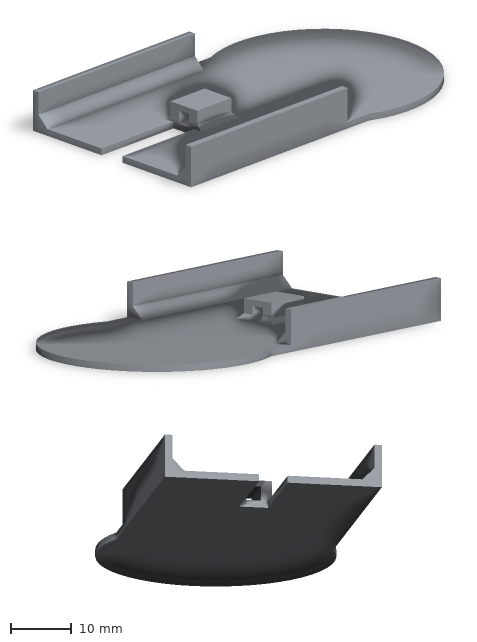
import cadquery as cq

total_length = 69.9
disc_diameter = 39.85
body_width = 36.5
plate_thickness = 1.2
front_y = -total_length / 2
disc_center_y = total_length / 2 - disc_diameter / 2

rail_length = 37.0
rail_thickness = 1.25
rail_height = 6.0
rail_foot = 2.0

slot_width = 4.8
slot_length = 17.0

block_width = 6.15
block_length = 8.05
block_height = 3.4
block_foot = 0.9
tunnel_size = 2.4
block_front_y = front_y + slot_length
block_center_y = block_front_y + block_length / 2


def box_on(bottom_z, width, length, height, center_y):
    """Box centred on X, standing on the given Z level."""
    return (
        cq.Workplane("XY", origin=(0, center_y, bottom_z))
        .rect(width, length)
        .extrude(height)
    )


def make_plate():
    body_length = disc_center_y - front_y
    body = box_on(0, body_width, body_length, plate_thickness, (front_y + disc_center_y) / 2)
    disc = (
        cq.Workplane("XY", origin=(0, disc_center_y, 0))
        .circle(disc_diameter / 2)
        .extrude(plate_thickness)
    )
    slot = box_on(0, slot_width, slot_length, plate_thickness, front_y + slot_length / 2)
    return body.union(disc).cut(slot)


def make_rail():
    """Rail on the -X edge, extruded from its section toward +Y."""
    outer_x = -body_width / 2
    inner_x = outer_x + rail_thickness
    top_z = plate_thickness + rail_height
    return (
        cq.Workplane("XZ", origin=(0, front_y, 0))
        .moveTo(outer_x, 0)
        .lineTo(outer_x, top_z)
        .lineTo(inner_x, top_z)
        .lineTo(inner_x, plate_thickness + rail_foot)
        .lineTo(inner_x + rail_foot, plate_thickness)
        .lineTo(inner_x + rail_foot, 0)
        .close()
        .extrude(-rail_length)
    )


def make_block():
    """Block with 45 degree feet on both sides and the back, and a flush front."""
    block = box_on(plate_thickness, block_width, block_length, block_height, block_center_y)
    foot = (
        cq.Workplane("XY", origin=(0, block_center_y, plate_thickness))
        .rect(block_width + 2 * block_foot, block_length + 2 * block_foot)
        .workplane(offset=block_foot)
        .rect(block_width, block_length)
        .loft(ruled=True)
    )
    front_trim = box_on(
        plate_thickness,
        block_width + 2 * block_foot,
        block_foot,
        block_foot,
        block_front_y - block_foot / 2,
    )
    return block.union(foot.cut(front_trim))


rail = make_rail()
tunnel_length = block_length + block_foot
tunnel = box_on(
    plate_thickness, tunnel_size, tunnel_length, tunnel_size, block_front_y + tunnel_length / 2
)

result = (
    make_plate()
    .union(rail)
    .union(rail.mirror("YZ"))
    .union(make_block())
    .cut(tunnel)
)